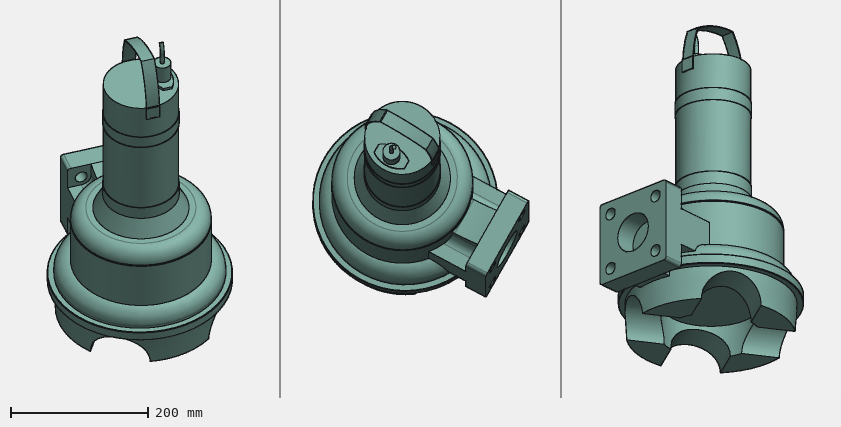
import cadquery as cq
import math

foot_height = 51.5
rim_top = 66.5
dome_top = 96.0
volute_top = 170.0
bell_shoulder_top = 195.0
bell_top = 222.0
lower_band_top = 242.5
upper_band_bottom = 358.5
upper_band_top = 378.0
motor_top = 433.5

base_x = -5.0
foot_top_radius = 125.5
foot_bottom_radius = 123.5
inlet_radius = 147.5 / 2
arch_radius = 45.0
arch_first_angle = 57
arch_count = 4

rim_radius = 135.5
rim_edge_chamfer = 1.0
dome_radius = foot_top_radius
dome_fillet = 25.0
volute_radius = 206.0 / 2

overall_length = 305.0
plate_outer_x = base_x + rim_radius - overall_length
plate_thickness = 33.5
plate_inner_x = plate_outer_x + plate_thickness
plate_side = 130.5
plate_corner_radius = 5.0
nozzle_z = 106.0
arm_thickness = 58.0
arm_fillet = 15.0
arm_end_x = -50.5
arm_top_drop = 8.5
arm_top_sag = 1.5
arm_bottom_z = 43.0
bore_diameter = 60.0
bolt_hole_diameter = 18.0
bolt_spacing = 88.5

bell_radius = volute_radius
bell_neck_radius = 204.0 / 2
bell_neck_height = 1.5
bell_fillet = 22.5
flare_base_radius = 70.0

band_radius = 112.0 / 2
tube_radius = 110.0 / 2

gland_y = 33.0
gland_plate_length = 50.5
gland_plate_width = 30.5
gland_plate_end_width = 13.0
gland_plate_thickness = 4.0
gland_diameter = 25.0
gland_top = 465.0

cable_diameter = 6.0
cable_straight_top = 483.5
cable_bend_radius = 33.0
cable_bend_angle = math.radians(30)

handle_width = 20.0
handle_thickness = 1.5
handle_tab_half_span = 56.5
handle_leg_half_span = 55.5
handle_tab_height = 20.0
handle_left_peak = (-45.5, 483.5)
handle_right_peak = (32.0, 505.0)
left_leg_bulge = 2.0
top_bulge = 5.5
right_leg_bulge = 5.0


def cylinder(radius, bottom, top, x=0.0, y=0.0):
    return cq.Workplane("XY", origin=(x, y, bottom)).circle(radius).extrude(top - bottom)


def cone(bottom_radius, top_radius, bottom, top, x=0.0):
    return (
        cq.Workplane("XY", origin=(x, 0, bottom))
        .circle(bottom_radius)
        .workplane(offset=top - bottom)
        .circle(top_radius)
        .loft()
    )


def make_skirt():
    """Solid tapered envelope of the foot."""
    return cone(foot_bottom_radius, foot_top_radius, 0, foot_height, base_x)


def make_foot():
    """Tapered ring standing on four legs between arched openings."""
    foot = make_skirt().cut(cylinder(inlet_radius, 0, foot_height, base_x))
    for i in range(arch_count):
        angle = math.radians(arch_first_angle + i * 360 / arch_count)
        outward = (math.cos(angle), math.sin(angle), 0)
        plane = cq.Plane(origin=(base_x, 0, 0), xDir=(0, 0, 1), normal=outward)
        foot = foot.cut(cq.Workplane(plane).circle(arch_radius).extrude(rim_radius))
    return foot


def make_arm_cross():
    """Horizontal and vertical arms behind the plate, with rounded inner corners."""
    length = arm_end_x - plate_inner_x
    plate_top = nozzle_z + plate_side / 2
    upright_height = plate_top - arm_bottom_z
    section = cq.Workplane("YZ", origin=(plate_inner_x, 0, nozzle_z))
    crossbar = section.rect(plate_side, arm_thickness).extrude(length)
    upright = (
        section.center(0, upright_height / 2 + arm_bottom_z - nozzle_z)
        .rect(arm_thickness, upright_height)
        .extrude(length)
    )
    inner_corners = cq.selectors.BoxSelector(
        (plate_inner_x, -arm_thickness, nozzle_z - arm_thickness),
        (arm_end_x, arm_thickness, nozzle_z + arm_thickness),
    )
    return crossbar.union(upright).edges("|X").edges(inner_corners).fillet(arm_fillet)


def make_arm_top_relief():
    """Space above the upright arm, whose top sags from the plate to the volute."""
    high_z = nozzle_z + plate_side / 2
    low_z = high_z - arm_top_drop
    mid_point = ((plate_inner_x - volute_radius) / 2, (high_z + low_z) / 2 - arm_top_sag)
    return (
        cq.Workplane("XZ")
        .moveTo(plate_inner_x, high_z)
        .threePointArc(mid_point, (-volute_radius, low_z))
        .lineTo(arm_end_x, low_z)
        .lineTo(arm_end_x, high_z)
        .close()
        .extrude(plate_side, both=True)
    )


def make_nozzle_plate():
    """Square connection plate with four bolt holes and the discharge bore."""
    face = cq.Workplane("YZ", origin=(plate_outer_x, 0, nozzle_z))
    plate = face.rect(plate_side, plate_side).extrude(plate_thickness)
    plate = plate.edges("|X").fillet(plate_corner_radius)
    bolt_holes = (
        face.rect(bolt_spacing, bolt_spacing, forConstruction=True)
        .vertices()
        .circle(bolt_hole_diameter / 2)
        .extrude(plate_thickness)
    )
    bore = face.circle(bore_diameter / 2).extrude(plate_thickness)
    return plate.cut(bolt_holes).cut(bore)


def make_volute():
    """Pump chamber on its rim, with the discharge nozzle; the lower arm meets the foot."""
    rim = cylinder(rim_radius, foot_height, rim_top, base_x).edges().chamfer(rim_edge_chamfer)
    dome = cylinder(dome_radius, rim_top, dome_top, base_x).edges(">Z").fillet(dome_fillet)
    chamber = cylinder(volute_radius, rim_top, volute_top)
    arms = make_arm_cross().cut(make_arm_top_relief()).cut(make_skirt())
    return rim.union(dome).union(chamber).union(arms).union(make_nozzle_plate())


def make_bell():
    """Rounded shoulder on a short neck, narrowing in a flare to meet the motor."""
    neck_top = volute_top + bell_neck_height
    neck = cylinder(bell_neck_radius, volute_top, neck_top)
    shoulder = cylinder(bell_radius, neck_top, bell_shoulder_top).edges(">Z").fillet(bell_fillet)
    flare = cone(flare_base_radius, band_radius, bell_shoulder_top, bell_top)
    return neck.union(shoulder).union(flare)


def make_motor():
    """Motor tube with two slightly wider bands."""
    tube = cylinder(tube_radius, bell_top, motor_top)
    lower_band = cylinder(band_radius, bell_top, lower_band_top)
    upper_band = cylinder(band_radius, upper_band_bottom, upper_band_top)
    return tube.union(lower_band).union(upper_band)


def make_gland():
    """Cable collar on a plate with bowed long sides."""
    half_length = gland_plate_length / 2
    half_width = gland_plate_width / 2
    half_end = gland_plate_end_width / 2
    plate = (
        cq.Workplane("XY", origin=(0, gland_y, motor_top))
        .moveTo(-half_length, -half_end)
        .threePointArc((0, -half_width), (half_length, -half_end))
        .lineTo(half_length, half_end)
        .threePointArc((0, half_width), (-half_length, half_end))
        .close()
        .extrude(gland_plate_thickness)
    )
    collar = cylinder(gland_diameter / 2, motor_top, gland_top, y=gland_y)
    return plate.union(collar)


def make_cable():
    """Cable rising from the gland and bending toward -X."""

    def bend_point(angle):
        x = -cable_bend_radius * (1 - math.cos(angle))
        return (x, cable_straight_top + cable_bend_radius * math.sin(angle))

    path = (
        cq.Workplane("XZ", origin=(0, gland_y, 0))
        .moveTo(0, gland_top)
        .lineTo(0, cable_straight_top)
        .threePointArc(bend_point(cable_bend_angle / 2), bend_point(cable_bend_angle))
    )
    start = cq.Workplane("XY", origin=(0, gland_y, gland_top))
    return start.circle(cable_diameter / 2).sweep(path)


def bulged_middle(start, end, bulge):
    """Point off the middle of a chord, on its left-hand side."""
    run = end[0] - start[0]
    rise = end[1] - start[1]
    chord = math.hypot(run, rise)
    return (
        (start[0] + end[0]) / 2 - bulge * rise / chord,
        (start[1] + end[1]) / 2 + bulge * run / chord,
    )


def make_handle(motor):
    """Thin bent strap over the motor, its two end tabs lying against the motor's sides."""
    leg_x = handle_leg_half_span
    points = [(-leg_x, motor_top), handle_left_peak, handle_right_peak, (leg_x, motor_top)]
    bulges = [left_leg_bulge, top_bulge, right_leg_bulge]
    inset_directions = [(1, 0), (1, -1), (-1, -1), (-1, 0)]
    inner_points = [
        (x + dx * handle_thickness, z + dz * handle_thickness)
        for (x, z), (dx, dz) in zip(points, inset_directions)
    ]

    strap = cq.Workplane("XZ").moveTo(*points[0])
    for start, end, bulge in zip(points, points[1:], bulges):
        strap = strap.threePointArc(bulged_middle(start, end, bulge), end)
    strap = strap.lineTo(*inner_points[-1])
    for i in reversed(range(len(bulges))):
        start = inner_points[i]
        end = inner_points[i + 1]
        strap = strap.threePointArc(bulged_middle(start, end, bulges[i]), start)
    strap = strap.close().extrude(handle_width / 2, both=True)

    tab_depth = 2 * handle_thickness
    for side in (-1, 1):
        tab_x = side * (handle_tab_half_span - tab_depth / 2)
        tab = (
            cq.Workplane("XY", origin=(tab_x, 0, motor_top))
            .rect(tab_depth, handle_width)
            .extrude(-handle_tab_height)
        )
        strap = strap.union(tab.cut(motor))
    return strap


foot = make_foot()
volute = make_volute()
bell = make_bell()
motor = make_motor()
gland = make_gland()
cable = make_cable()
handle = make_handle(motor)

bodies = [foot, volute, bell, motor, gland, cable, handle]
result = cq.Compound.makeCompound([body.solids().val() for body in bodies])